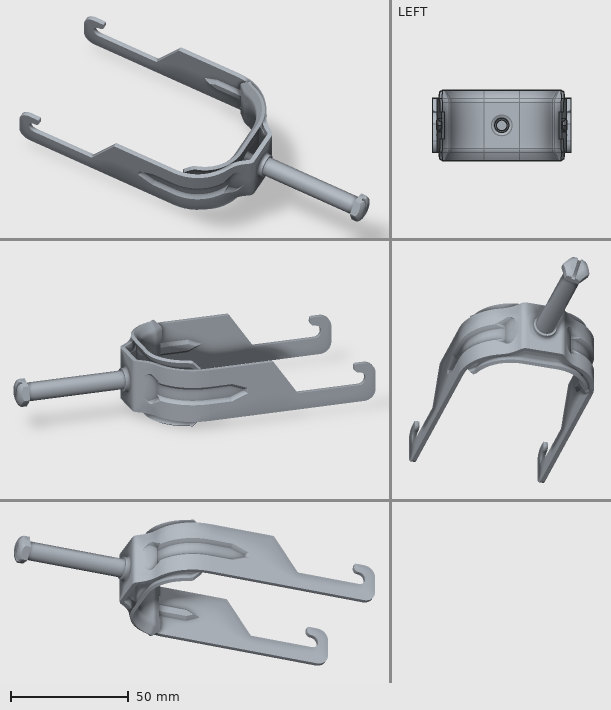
import cadquery as cq
import math


OVERALL_LENGTH = 151.5

ARM_LENGTH = 74.8
BRACKET_WIDTH = 59.0
BRACKET_HEIGHT = 23.2
BRACKET_SHEET = 2.0
SHOULDER_RADIUS = 21.0
REVERSE_RADIUS = 15.2
BRIDGE_FACE_X = 27.0
BRIDGE_HALF_LENGTH = 7.3
BRIDGE_BEND_RADIUS = 3.0
RAMP_NORMAL_ANGLE = 55.0
HALF_WIDTH = BRACKET_WIDTH / 2
HALF_HEIGHT = BRACKET_HEIGHT / 2
SHOULDER_CENTRE_Y = HALF_WIDTH - SHOULDER_RADIUS

HOOK_CORNER_RADIUS = 5.0
HOOK_TOP_Z = 5.6
HOOK_TIP_REACH = 9.4
HOOK_TIP_RADIUS = 0.6
HOOK_FLOOR_Z = -4.1
HOOK_THROAT_RADIUS = 2.9
HOOK_THROAT_REACH = 7.4
SLOPE_FOOT_REACH = 35.0
SLOPE_TOP_REACH = 45.9

BEAD_DEPTH = 1.7
BEAD_TAPER = 40.0
BEAD_HALF_WIDTH = 4.0
BEAD_TIP_HALF_WIDTH = 1.2
BEAD_TIP_X = -17.4
BEAD_FULL_X = -10.3
BEAD_INSIDE_MARGIN = 1.0
BEAD_END_ANGLE = 18.0

POCKET_FLOOR = [(18.3, 14.5), (22.0, 12.1), (24.2, 10.8)]
POCKET_BACK = [(16.7, 13.3), (23.3, 9.0), (24.7, 9.0)]
POCKET_LOW_RIM = [(18.2, 2.9), (22.0, 4.8), (22.7, 4.2), (24.2, 3.0)]
POCKET_HIGH_RIM = [(18.2, 4.0), (21.2, 7.5), (23.0, 7.3), (24.2, 3.0)]
POCKET_LOW_Y = 10.6
POCKET_HIGH_Y = 14.5

COLLAR_DIAMETER = 10.0
COLLAR_LENGTH = 2.0
COLLAR_FILLET = 0.9

SADDLE_SHEET = 1.5
SADDLE_FACE_X = 17.4
SADDLE_FLAT_HALF_LENGTH = 7.5
SADDLE_RADIUS = 14.4
SADDLE_ARC_ANGLE = 75.0
SADDLE_HALF_HEIGHT = 15.0
SADDLE_WALL_HALF_HEIGHT = 9.7
RIM_BEND_RADIUS = 3.6
RIM_FLARE = 30.0
LIP_BEND_RADIUS = 4.0
LIP_ANGLE = 43.0
LIP_LENGTH = 4.1
LIP_CORNER_LENGTH = 2.9
LIP_CORNER_HEIGHT = 3.6
LIP_NOTCH_HALF_HEIGHT = 5.8
LIP_NOTCH_DEPTH = 1.2
SADDLE_HOLE_DIAMETER = 6.0
SADDLE_HOLE_ROUND = 1.4

SHAFT_DIAMETER = 8.0
SHAFT_START_X = 23.3
POINT_START_X = 22.0
POINT_START_DIAMETER = 6.0
POINT_END_DIAMETER = 6.7
PIN_DIAMETER = 4.5
PIN_START_X = 18.5
HEAD_START_X = 72.3
HEAD_CORNER_DIAMETER = 12.1
HEAD_TURN = 45.0
CROWN_START_X = 74.8
CROWN_MIDDLE = (76.0, 4.7)
CROWN_END_RADIUS = 3.0
BOLT_END_X = OVERALL_LENGTH - ARM_LENGTH
SLOT_WIDTH = 1.5
SLOT_FLOOR_X = 74.4
SLOT_TILT = 15.0

REACH = 90.9


def polar(centre, radius, angle):
    """Point at an angle, in degrees from +X, on a circle."""
    turn = math.radians(angle)
    return (centre[0] + radius * math.cos(turn), centre[1] + radius * math.sin(turn))


SHOULDER_CENTRE = (0, SHOULDER_CENTRE_Y)
BRIDGE_BEND_CENTRE = (BRIDGE_FACE_X - BRIDGE_BEND_RADIUS, BRIDGE_HALF_LENGTH)
RAMP_DISTANCE = (
    math.cos(math.radians(RAMP_NORMAL_ANGLE)) * BRIDGE_BEND_CENTRE[0]
    + math.sin(math.radians(RAMP_NORMAL_ANGLE)) * (BRIDGE_BEND_CENTRE[1] - SHOULDER_CENTRE_Y)
    + BRIDGE_BEND_RADIUS
)
CENTRE_SPACING = SHOULDER_RADIUS + REVERSE_RADIUS
SHOULDER_END_ANGLE = RAMP_NORMAL_ANGLE - math.degrees(
    math.acos((RAMP_DISTANCE + REVERSE_RADIUS) / CENTRE_SPACING)
)
REVERSE_CENTRE = polar(SHOULDER_CENTRE, CENTRE_SPACING, SHOULDER_END_ANGLE)


def mirror_y(body):
    return body.union(body.mirror("XZ"))


def strip_half(inset):
    """Half of the U-shaped area that lies the given inset inside the bracket's outer face."""
    shoulder = SHOULDER_RADIUS - inset
    reverse = REVERSE_RADIUS + inset
    bend = BRIDGE_BEND_RADIUS - inset
    reverse_start = SHOULDER_END_ANGLE + 180
    reverse_end = RAMP_NORMAL_ANGLE + 180
    return (
        cq.Workplane("XY", origin=(0, 0, -HALF_HEIGHT))
        .moveTo(-ARM_LENGTH, 0)
        .lineTo(-ARM_LENGTH, HALF_WIDTH - inset)
        .lineTo(0, HALF_WIDTH - inset)
        .threePointArc(
            polar(SHOULDER_CENTRE, shoulder, (90 + SHOULDER_END_ANGLE) / 2),
            polar(SHOULDER_CENTRE, shoulder, SHOULDER_END_ANGLE),
        )
        .threePointArc(
            polar(REVERSE_CENTRE, reverse, (reverse_start + reverse_end) / 2),
            polar(REVERSE_CENTRE, reverse, reverse_end),
        )
        .lineTo(*polar(BRIDGE_BEND_CENTRE, bend, RAMP_NORMAL_ANGLE))
        .threePointArc(
            polar(BRIDGE_BEND_CENTRE, bend, RAMP_NORMAL_ANGLE / 2),
            polar(BRIDGE_BEND_CENTRE, bend, 0),
        )
        .lineTo(BRIDGE_FACE_X - inset, 0)
        .close()
        .extrude(BRACKET_HEIGHT)
    )


def side_outline():
    """Hooked outline of the arms, extended over the whole bend and through the full width."""
    tip = -ARM_LENGTH
    throat_x = tip + HOOK_THROAT_REACH
    throat_z = HOOK_FLOOR_Z + HOOK_THROAT_RADIUS
    tip_end = tip + HOOK_TIP_REACH
    blank = (
        cq.Workplane("XZ", origin=(0, HALF_WIDTH, 0))
        .moveTo(tip, -HALF_HEIGHT)
        .lineTo(REACH, -HALF_HEIGHT)
        .lineTo(REACH, HALF_HEIGHT)
        .lineTo(tip + SLOPE_TOP_REACH, HALF_HEIGHT)
        .lineTo(tip + SLOPE_FOOT_REACH, HOOK_FLOOR_Z)
        .lineTo(throat_x, HOOK_FLOOR_Z)
        .threePointArc(
            (throat_x - HOOK_THROAT_RADIUS, throat_z),
            (throat_x, throat_z + HOOK_THROAT_RADIUS),
        )
        .tangentArcPoint((tip_end, HOOK_TOP_Z - 2 * HOOK_TIP_RADIUS), relative=False)
        .lineTo(tip_end, HOOK_TOP_Z - HOOK_TIP_RADIUS)
        .radiusArc((tip_end - HOOK_TIP_RADIUS, HOOK_TOP_Z), -HOOK_TIP_RADIUS)
        .lineTo(tip, HOOK_TOP_Z)
        .close()
        .extrude(BRACKET_WIDTH)
    )
    return blank.edges("|Y and <X").fillet(HOOK_CORNER_RADIUS)


def bead(inset, margin):
    """Tapered ridge that points inward from the surface at the given inset, on the +Y arm."""
    half = BEAD_HALF_WIDTH - margin
    tip_half = BEAD_TIP_HALF_WIDTH - margin
    crest_half = half - BEAD_DEPTH * math.tan(math.radians(BEAD_TAPER))
    tip_x = BEAD_TIP_X + margin
    outer = SHOULDER_RADIUS - inset
    straight = (
        cq.Workplane("XZ", origin=(0, HALF_WIDTH - inset, 0))
        .polyline([
            (half, -half),
            (half, half),
            (BEAD_FULL_X, half),
            (tip_x, tip_half),
            (tip_x, -tip_half),
            (BEAD_FULL_X, -half),
        ])
        .close()
        .extrude(BEAD_DEPTH, taper=BEAD_TAPER)
    )
    arm_side = cq.Workplane("XY").box(REACH, REACH, REACH).translate((-REACH / 2, 0, 0))
    around = (
        cq.Workplane("YZ", origin=(0, SHOULDER_CENTRE_Y, 0))
        .polyline([
            (outer, -half),
            (outer, half),
            (outer - BEAD_DEPTH, crest_half),
            (outer - BEAD_DEPTH, -crest_half),
        ])
        .close()
        .revolve(90 - BEAD_END_ANGLE, (0, 0), (0, -1))
    )
    return straight.intersect(arm_side).union(around)


def outside_of(floor):
    """Full-height block between a floor line in the XY plane and the bracket's widest Y."""
    return (
        cq.Workplane("XY", origin=(0, 0, -HALF_HEIGHT))
        .polyline([*floor, (floor[-1][0], HALF_WIDTH), (floor[0][0], HALF_WIDTH)])
        .close()
        .extrude(BRACKET_HEIGHT)
    )


def both_sides(rim):
    """Closed outline from the +Z half of a rim."""
    return rim + [(x, -z) for x, z in reversed(rim)]


def make_pocket():
    """Pocket with leaning walls that widens toward the outside."""
    leaning = (
        cq.Workplane("XZ", origin=(0, POCKET_HIGH_Y, 0))
        .polyline(both_sides(POCKET_HIGH_RIM))
        .close()
        .workplane(offset=POCKET_HIGH_Y - POCKET_LOW_Y)
        .polyline(both_sides(POCKET_LOW_RIM))
        .close()
        .loft(ruled=True)
    )
    mouth = (
        cq.Workplane("XZ", origin=(0, POCKET_HIGH_Y, 0))
        .polyline(both_sides(POCKET_HIGH_RIM))
        .close()
        .extrude(POCKET_HIGH_Y - HALF_WIDTH)
    )
    return leaning.union(mouth).intersect(outside_of(POCKET_FLOOR))


def make_pocket_backing():
    """Sheet pushed inward behind the pocket."""
    widest = max(z for x, z in POCKET_HIGH_RIM)
    band = cq.Workplane("XY").box(REACH, REACH, 2 * widest)
    return outside_of(POCKET_BACK).intersect(band)


def make_collar():
    """Round collar with a filleted foot on the bridge."""
    radius = COLLAR_DIAMETER / 2
    return (
        cq.Workplane("XY")
        .moveTo(BRIDGE_FACE_X, 0)
        .lineTo(BRIDGE_FACE_X, radius + COLLAR_FILLET)
        .radiusArc((BRIDGE_FACE_X + COLLAR_FILLET, radius), -COLLAR_FILLET)
        .lineTo(BRIDGE_FACE_X + COLLAR_LENGTH, radius)
        .lineTo(BRIDGE_FACE_X + COLLAR_LENGTH, 0)
        .close()
        .revolve(360, (0, 0), (1, 0))
    )


def make_bracket(saddle):
    outer = strip_half(0)
    half = outer.cut(strip_half(BRACKET_SHEET))
    half = half.union(bead(BRACKET_SHEET, BEAD_INSIDE_MARGIN))
    half = half.union(make_pocket_backing().intersect(outer))
    half = half.cut(saddle)
    half = half.cut(bead(0, 0)).cut(make_pocket())
    bracket = mirror_y(half).intersect(side_outline()).union(make_collar())
    bore = cq.Workplane("YZ").circle(SHAFT_DIAMETER / 2).extrude(REACH)
    return bracket.cut(bore)


def saddle_plane(point, normal_angle):
    """Plane across the saddle sheet whose x axis leads outward; its normal leads to the lip."""
    outward = polar((0, 0), 1, normal_angle)
    along = polar((0, 0), 1, normal_angle + 90)
    return cq.Plane((*point, 0), (*outward, 0), (*along, 0))


def saddle_section(plane):
    """Cross-section of the saddle sheet: outward from its inner face, and up and down."""
    flare = math.radians(RIM_FLARE)
    centre = (RIM_BEND_RADIUS, SADDLE_WALL_HALF_HEIGHT)
    outer_bend = RIM_BEND_RADIUS - SADDLE_SHEET
    bend_end = polar(centre, RIM_BEND_RADIUS, 180 - RIM_FLARE)
    edge_out = bend_end[0] + (SADDLE_HALF_HEIGHT - bend_end[1]) * math.tan(flare)
    edge_back = (
        edge_out + SADDLE_SHEET * math.cos(flare),
        SADDLE_HALF_HEIGHT - SADDLE_SHEET * math.sin(flare),
    )
    return (
        cq.Workplane(plane)
        .moveTo(0, 0)
        .lineTo(0, SADDLE_WALL_HALF_HEIGHT)
        .threePointArc(polar(centre, RIM_BEND_RADIUS, 180 - RIM_FLARE / 2), bend_end)
        .lineTo(edge_out, SADDLE_HALF_HEIGHT)
        .lineTo(*edge_back)
        .lineTo(*polar(centre, outer_bend, 180 - RIM_FLARE))
        .threePointArc(
            polar(centre, outer_bend, 180 - RIM_FLARE / 2),
            (SADDLE_SHEET, SADDLE_WALL_HALF_HEIGHT),
        )
        .lineTo(SADDLE_SHEET, 0)
        .mirrorX()
    )


def lip_trimming(lip_plane):
    """Notch that clears the bracket's bead, and wedges that cut the rim's end corners."""
    notch = (
        cq.Workplane(lip_plane)
        .workplane(offset=LIP_LENGTH - LIP_NOTCH_DEPTH)
        .rect(4 * SADDLE_SHEET, 2 * LIP_NOTCH_HALF_HEIGHT)
        .extrude(2 * LIP_NOTCH_DEPTH)
    )
    side_plane = cq.Plane(lip_plane.origin, lip_plane.zDir, lip_plane.xDir)
    wedge = (
        cq.Workplane(side_plane)
        .polyline([
            (LIP_LENGTH, SADDLE_HALF_HEIGHT - LIP_CORNER_HEIGHT),
            (LIP_LENGTH, SADDLE_HALF_HEIGHT),
            (LIP_LENGTH - LIP_CORNER_LENGTH, SADDLE_HALF_HEIGHT),
        ])
        .close()
        .extrude(REACH, both=True)
    )
    return notch.union(wedge).union(wedge.mirror("XY"))


def make_saddle():
    arc_centre = (SADDLE_FACE_X - SADDLE_RADIUS, SADDLE_FLAT_HALF_LENGTH)
    flat_plane = saddle_plane((SADDLE_FACE_X, 0), 0)
    flat = saddle_section(flat_plane).extrude(SADDLE_FLAT_HALF_LENGTH)

    arc_plane = saddle_plane((SADDLE_FACE_X, SADDLE_FLAT_HALF_LENGTH), 0)
    arc = saddle_section(arc_plane).revolve(
        SADDLE_ARC_ANGLE, (-SADDLE_RADIUS, 0), (-SADDLE_RADIUS, -1)
    )

    bend_start = polar(arc_centre, SADDLE_RADIUS, SADDLE_ARC_ANGLE)
    bend_axis = polar(bend_start, LIP_BEND_RADIUS, SADDLE_ARC_ANGLE)
    bend_plane = saddle_plane(bend_start, SADDLE_ARC_ANGLE)
    lip_normal_angle = 90 - LIP_ANGLE
    bend = saddle_section(bend_plane).revolve(
        SADDLE_ARC_ANGLE - lip_normal_angle, (LIP_BEND_RADIUS, 0), (LIP_BEND_RADIUS, 1)
    )
    lip_start = polar(bend_axis, LIP_BEND_RADIUS, lip_normal_angle + 180)
    lip_plane = saddle_plane(lip_start, lip_normal_angle)
    lip = saddle_section(lip_plane).extrude(LIP_LENGTH).cut(lip_trimming(lip_plane))
    half = flat.union(arc).union(bend).union(lip)

    hole_radius = SADDLE_HOLE_DIAMETER / 2
    back_x = SADDLE_FACE_X + SADDLE_SHEET
    hole = (
        cq.Workplane("XY")
        .moveTo(SADDLE_FACE_X, 0)
        .lineTo(SADDLE_FACE_X, hole_radius + SADDLE_HOLE_ROUND)
        .radiusArc((SADDLE_FACE_X + SADDLE_HOLE_ROUND, hole_radius), -SADDLE_HOLE_ROUND)
        .lineTo(back_x, hole_radius)
        .lineTo(back_x, 0)
        .close()
        .revolve(360, (0, 0), (1, 0))
    )
    return mirror_y(half).cut(hole)


def make_bolt():
    shaft_radius = SHAFT_DIAMETER / 2
    shaft = (
        cq.Workplane("XY")
        .polyline([
            (PIN_START_X, 0),
            (PIN_START_X, PIN_DIAMETER / 2),
            (POINT_START_X, PIN_DIAMETER / 2),
            (POINT_START_X, POINT_START_DIAMETER / 2),
            (SHAFT_START_X, POINT_END_DIAMETER / 2),
            (SHAFT_START_X, shaft_radius),
            (HEAD_START_X, shaft_radius),
            (HEAD_START_X, 0),
        ])
        .close()
        .revolve(360, (0, 0), (1, 0))
    )
    hexagon = (
        cq.Workplane("YZ", origin=(HEAD_START_X, 0, 0))
        .polygon(6, HEAD_CORNER_DIAMETER)
        .extrude(BOLT_END_X - HEAD_START_X)
        .rotate((0, 0, 0), (1, 0, 0), HEAD_TURN)
    )
    crown = (
        cq.Workplane("XY")
        .moveTo(HEAD_START_X, 0)
        .lineTo(HEAD_START_X, HEAD_CORNER_DIAMETER / 2)
        .lineTo(CROWN_START_X, HEAD_CORNER_DIAMETER / 2)
        .threePointArc(CROWN_MIDDLE, (BOLT_END_X, CROWN_END_RADIUS))
        .lineTo(BOLT_END_X, 0)
        .close()
        .revolve(360, (0, 0), (1, 0))
    )
    slot = (
        cq.Workplane("YZ", origin=(SLOT_FLOOR_X, 0, 0))
        .rect(SLOT_WIDTH, 2 * HEAD_CORNER_DIAMETER)
        .extrude(BOLT_END_X - SLOT_FLOOR_X)
        .rotate((0, 0, 0), (1, 0, 0), -SLOT_TILT)
    )
    return shaft.union(hexagon.intersect(crown).cut(slot))


saddle = make_saddle()
bracket = make_bracket(saddle)
bolt = make_bolt()

result = cq.Compound.makeCompound([bracket.val(), saddle.val(), bolt.val()])